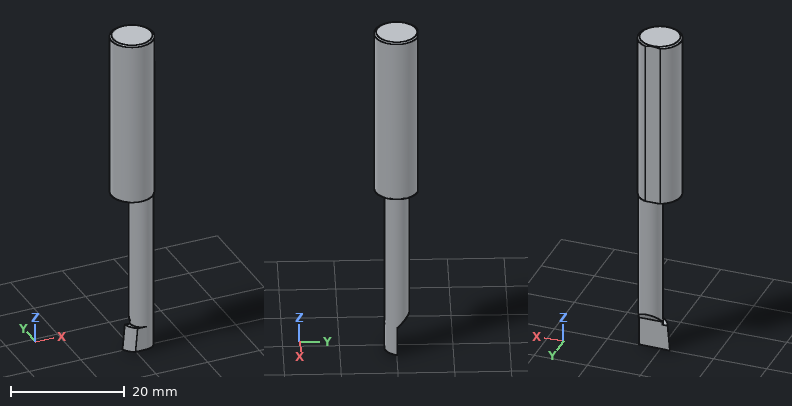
import cadquery as cq
import math

shank_diameter = 7.9375
shank_length = 31.75
shank_flat_y = 3.71
chamfer_width = 0.36
chamfer_height = 0.25

neck_diameter = 4.42
neck_length = 31.74

head_height = 5.0
side_relief_angle = 5.0
end_relief_angle = 7.0
end_dish_angle = 1.0
ramp_height = 5.6

tip_x = -1.86
heel_x = -1.05
heel_y = -1.57
shoulder_x = -0.35
flank_bulge = 0.08

shank_radius = shank_diameter / 2
neck_radius = neck_diameter / 2
neck_x = shank_radius - neck_radius
bottom_z = -neck_length
ramp_z = bottom_z + ramp_height


def make_shank():
    """Round shank with a cone chamfer on top and a flat along its full length."""
    half_profile = (
        cq.Workplane("XZ")
        .lineTo(shank_radius, 0)
        .lineTo(shank_radius, shank_length - chamfer_height)
        .lineTo(shank_radius - chamfer_width, shank_length)
        .lineTo(0, shank_length)
        .close()
    )
    bar = half_profile.revolve(360, (0, 0), (0, 1))
    keep = cq.Workplane("XY").box(
        shank_diameter, shank_radius + shank_flat_y, shank_length, centered=(True, False, False)
    )
    return bar.intersect(keep.translate((0, -shank_radius, 0)))


def make_neck():
    """Round neck, offset towards +X."""
    return cq.Workplane("XY").center(neck_x, 0).circle(neck_radius).extrude(-neck_length)


def head_section(z, shift):
    """Closed head outline at height z, with its relieved flank moved by shift along X."""
    tip = cq.Vector(tip_x + shift, 0, z)
    heel = cq.Vector(heel_x + shift, heel_y, z)
    shoulder = cq.Vector(shoulder_x + shift, -neck_radius, z)
    neck_front = cq.Vector(neck_x, -neck_radius, z)
    neck_axis = cq.Vector(neck_x, 0, z)

    chord = heel - tip
    outward = cq.Vector(chord.y, -chord.x, 0).normalized()
    bulge_point = tip + chord / 2 + outward * flank_bulge

    flank = cq.Edge.makeThreePointArc(tip, bulge_point, heel)
    corners = [heel, shoulder, neck_front, neck_axis, tip]
    sides = [cq.Edge.makeLine(start, end) for start, end in zip(corners, corners[1:])]
    return cq.Wire.assembleEdges([flank] + sides)


def make_head():
    """Head whose flank leans back from the tip by the side relief angle."""
    lean = head_height * math.tan(math.radians(side_relief_angle))
    lower = head_section(bottom_z, 0)
    upper = head_section(bottom_z + head_height, lean)
    return cq.Workplane(cq.Solid.makeLoft([lower, upper], True))


def make_rake_cut():
    """Space on the +Y side of the head, closed above by a 45 degree ramp."""
    return (
        cq.Workplane("YZ")
        .moveTo(0, bottom_z)
        .lineTo(0, ramp_z)
        .lineTo(shank_radius, ramp_z + shank_radius)
        .lineTo(shank_radius, bottom_z)
        .close()
        .extrude(shank_radius, both=True)
    )


def make_end_relief_cut():
    """Space below the end face, which rises from the tip towards -Y and +X."""
    block_width = 4 * shank_diameter
    block_depth = shank_diameter
    block = cq.Workplane("XY").box(block_width, block_width, block_depth)
    block = block.translate((0, 0, -block_depth / 2))
    tilted = block.rotate((0, 0, 0), (1, 0, 0), -end_relief_angle)
    tilted = tilted.rotate((0, 0, 0), (0, 1, 0), -end_dish_angle)
    return tilted.translate((tip_x, 0, bottom_z))


result = make_shank().union(make_neck()).union(make_head())
result = result.cut(make_rake_cut()).cut(make_end_relief_cut())